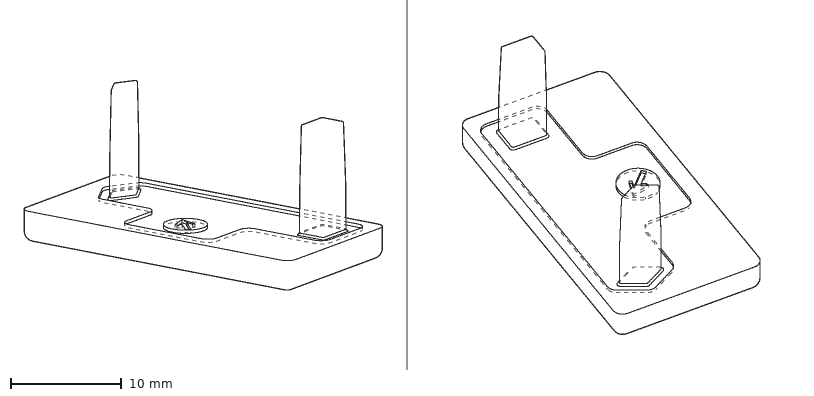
import cadquery as cq
import math

PLATE_LENGTH = 30.0
PLATE_WIDTH = 15.0
PLATE_THICKNESS = 3.0
PLATE_CORNER_RADIUS = 1.0
PLATE_BOTTOM_FILLET = 0.95

POCKET_DEPTH = 0.3
POCKET_TOP_Y = 6.4
POCKET_AXIS_Y = 3.05
POCKET_RIGHT_X = 13.58
POCKET_POINT_X = -13.35
STEM_HALF_WIDTH = 5.0
STEM_BOTTOM_Y = -5.85
POCKET_CORNER_RADIUS = 1.0
FLOOR_Z = PLATE_THICKNESS - POCKET_DEPTH

POST_TOP_Z = 13.0
DRAFT_START_Z = 7.0
DRAFT_ANGLE = 1.0
POST_EDGE_RADIUS = 0.2
POST_TOP_FILLET = 0.18
FOOT_FLARE = 0.18
FOOT_CORNER_RADIUS = 0.32

DIAMOND_X = -10.93
DIAMOND_Y = 3.0
DIAMOND_SIDE_ANGLE = 61.0
DIAMOND_HALF_WIDTH = 1.29

BLOCK_X = 11.1
BLOCK_Y = 3.03
BLOCK_WIDTH = 2.74
BLOCK_DEPTH = 3.6
BLOCK_BACK_DRAFT_ANGLE = 2.0

DISC_Y = -2.75
DISC_RADIUS = 2.0
DISC_HEIGHT = 0.3
ARROW_LENGTH = 3.35
ARROW_SHAFT_HALF_WIDTH = 0.25
ARROW_BARB_BACK = 1.66
ARROW_BARB_HALF_WIDTH = 0.92
ARROW_BARB_END_BACK = 1.76
ARROW_BARB_END_HALF_WIDTH = 0.66
ARROW_LEFT_NOTCH_BACK = 1.62
ARROW_RIGHT_NOTCH_BACK = 1.05
ARROW_TURN = 135.0
ARROW_TIP_X = -1.18
ARROW_TIP_Y = -1.63


def make_plate():
    plate = cq.Workplane("XY").box(PLATE_LENGTH, PLATE_WIDTH, PLATE_THICKNESS, centered=(True, True, False))
    plate = plate.edges("|Z").fillet(PLATE_CORNER_RADIUS)
    return plate.faces("<Z").edges().fillet(PLATE_BOTTOM_FILLET)


def make_pocket():
    """The pointed end of the pocket runs parallel to the sides of the diamond post."""
    half_height = POCKET_TOP_Y - POCKET_AXIS_Y
    band_bottom_y = POCKET_AXIS_Y - half_height
    shoulder_x = POCKET_POINT_X + half_height / math.tan(math.radians(DIAMOND_SIDE_ANGLE))
    outline = [
        (POCKET_POINT_X, POCKET_AXIS_Y),
        (shoulder_x, POCKET_TOP_Y),
        (POCKET_RIGHT_X, POCKET_TOP_Y),
        (POCKET_RIGHT_X, band_bottom_y),
        (STEM_HALF_WIDTH, band_bottom_y),
        (STEM_HALF_WIDTH, STEM_BOTTOM_Y),
        (-STEM_HALF_WIDTH, STEM_BOTTOM_Y),
        (-STEM_HALF_WIDTH, band_bottom_y),
        (shoulder_x, band_bottom_y),
    ]
    pocket = cq.Workplane("XY", origin=(0, 0, FLOOR_Z)).polyline(outline).close().extrude(POCKET_DEPTH)
    return pocket.edges("|Z").fillet(POCKET_CORNER_RADIUS)


def draft_inset(angle):
    """Distance a drafted side moves inward over the upper length of a post."""
    return (POST_TOP_Z - DRAFT_START_Z) * math.tan(math.radians(angle))


def rounded_section(outline, z, corner_radius=POST_EDGE_RADIUS):
    """Closed outline with rounded corners, lying at height z."""
    section = cq.Sketch().polygon(outline + outline[:1]).vertices().fillet(corner_radius)
    return section.moved(cq.Location(cq.Vector(0, 0, z)))


def loft_between(lower_section, upper_section):
    return cq.Workplane("XY").placeSketch(lower_section, upper_section).loft(ruled=True)


def make_post(foot_outline, lower_outline, upper_outline):
    """Post on the pocket floor: flared foot, straight lower length, drafted upper length."""
    foot = loft_between(
        rounded_section(foot_outline, FLOOR_Z, FOOT_CORNER_RADIUS),
        rounded_section(lower_outline, FLOOR_Z + FOOT_FLARE),
    )
    shaft = loft_between(
        rounded_section(lower_outline, FLOOR_Z),
        rounded_section(lower_outline, DRAFT_START_Z),
    )
    tip = loft_between(
        rounded_section(lower_outline, DRAFT_START_Z),
        rounded_section(upper_outline, POST_TOP_Z),
    )
    tip = tip.faces(">Z").edges().fillet(POST_TOP_FILLET)
    return shaft.union(tip).union(foot)


def diamond_outline(inset):
    """Diamond with every side moved inward by inset."""
    side_angle = math.radians(DIAMOND_SIDE_ANGLE)
    half_width = DIAMOND_HALF_WIDTH - inset / math.sin(side_angle)
    half_height = half_width * math.tan(side_angle)
    return [
        (DIAMOND_X - half_width, DIAMOND_Y),
        (DIAMOND_X, DIAMOND_Y + half_height),
        (DIAMOND_X + half_width, DIAMOND_Y),
        (DIAMOND_X, DIAMOND_Y - half_height),
    ]


def block_outline(inset, back_inset):
    """Rectangle with three sides moved inward by inset and the +Y side by back_inset."""
    left = BLOCK_X - BLOCK_WIDTH / 2 + inset
    right = BLOCK_X + BLOCK_WIDTH / 2 - inset
    front = BLOCK_Y - BLOCK_DEPTH / 2 + inset
    back = BLOCK_Y + BLOCK_DEPTH / 2 - back_inset
    return [(left, front), (left, back), (right, back), (right, front)]


def make_diamond_post():
    inset = draft_inset(DRAFT_ANGLE)
    return make_post(diamond_outline(-FOOT_FLARE), diamond_outline(0), diamond_outline(inset))


def make_block_post():
    inset = draft_inset(DRAFT_ANGLE)
    back_inset = draft_inset(BLOCK_BACK_DRAFT_ANGLE)
    return make_post(
        block_outline(-FOOT_FLARE, -FOOT_FLARE),
        block_outline(0, 0),
        block_outline(inset, back_inset),
    )


def arrow_side(notch_back, side):
    """Points down one side of an arrow whose tip is at the origin and which points along +X."""
    return [
        (-ARROW_BARB_BACK, side * ARROW_BARB_HALF_WIDTH),
        (-ARROW_BARB_END_BACK, side * ARROW_BARB_END_HALF_WIDTH),
        (-notch_back, side * ARROW_SHAFT_HALF_WIDTH),
        (-ARROW_LENGTH, side * ARROW_SHAFT_HALF_WIDTH),
    ]


def make_arrow_disc():
    """The arrow points up and to the left in plan."""
    disc = cq.Workplane("XY", origin=(0, DISC_Y, FLOOR_Z)).circle(DISC_RADIUS).extrude(DISC_HEIGHT)
    outline = [(0, 0)] + arrow_side(ARROW_LEFT_NOTCH_BACK, 1) + arrow_side(ARROW_RIGHT_NOTCH_BACK, -1)[::-1]
    arrow = cq.Workplane("XY", origin=(0, 0, FLOOR_Z)).polyline(outline).close().extrude(DISC_HEIGHT)
    arrow = arrow.rotate((0, 0, 0), (0, 0, 1), ARROW_TURN)
    return disc.cut(arrow.translate((ARROW_TIP_X, ARROW_TIP_Y, 0)))


result = make_plate().cut(make_pocket())
for addition in (make_diamond_post(), make_block_post(), make_arrow_disc()):
    result = result.union(addition)